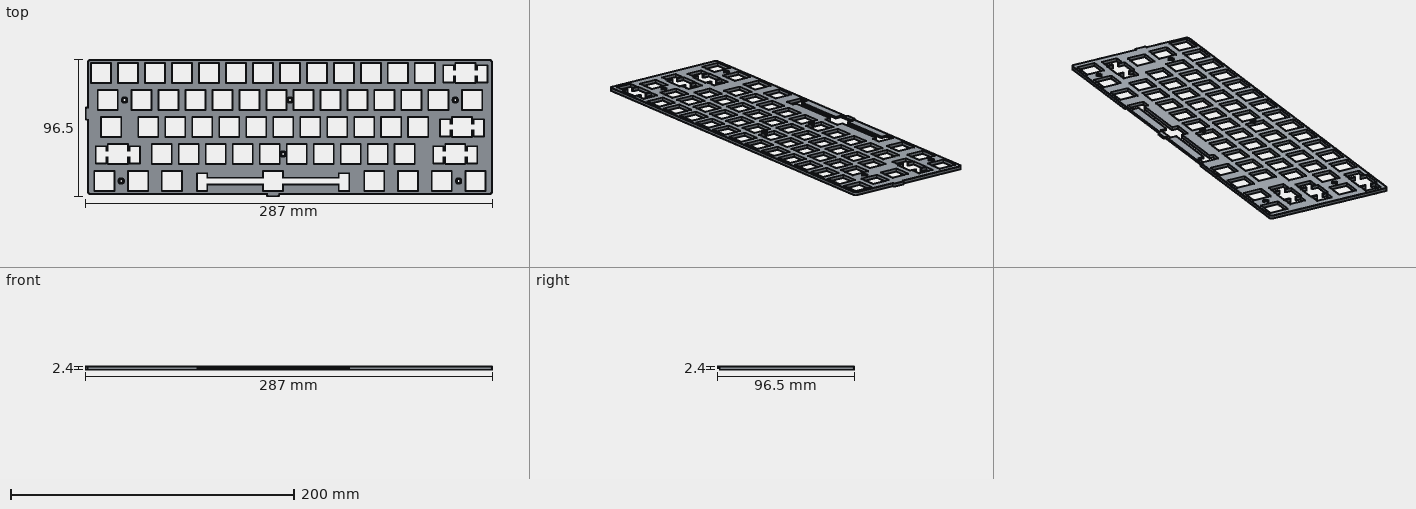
import cadquery as cq

total_length = 287
total_width = 96.5
thickness = 2.4
tab_reach = 1.5
body_length = total_length - tab_reach
body_width = total_width - tab_reach
body_left = -body_length / 2
body_front = -body_width / 2
corner_radius = 2.0
edge_chamfer = 0.23

grid_length = 285.7
keys_per_row = 15
key_unit = grid_length / keys_per_row
space_key = 6.25
key_rows = [
    [1] * 13 + [2],
    [1.5] + [1] * 12 + [1.5],
    [1.75] + [1] * 11 + [2.25],
    [2.25] + [1] * 10 + [2.75],
    [1.25] * 3 + [space_key] + [1.25] * 4,
]
middle_row = len(key_rows) // 2
space_key_x = (sum(key_rows[-1][:3]) + space_key / 2 - keys_per_row / 2) * key_unit

switch_margin = 2.52
switch_size = key_unit - 2 * switch_margin

narrowest_stabilized_key = 2
stab_width = 7.2
stab_top = 5.5
stab_bottom = -6.5
stab_slot_width = 4.5
stab_reach = 15.5
space_stab_reach = 53.6
space_stab_bottom = -switch_size / 2

tab_width = 9.0
tab_corner_radius = 1.0
side_tab_y = 9.5

relief_length = 2 * space_stab_reach
relief_back = -middle_row * key_unit - stab_slot_width / 2
relief_height = 1.1

screw_diameter = 2.6
screw_head_diameter = 4.0
screw_head_depth = 1.1
screw_places = [(-6.125, 1), (0, 1), (6.125, 1), (-0.25, -1), (-6.25, -2), (6.25, -2)]


def block(left, right, front, back, height=thickness):
    """A box standing on the underside plane."""
    size_x = right - left
    size_y = back - front
    return cq.Workplane("XY").box(size_x, size_y, height, centered=False).translate((left, front, 0))


def make_body():
    """Plate outline with its two tabs and the chamfered upper edge."""
    body = cq.Workplane("XY").rect(body_length, body_width).extrude(thickness)
    body = body.edges("|Z").fillet(corner_radius)
    half_tab = tab_width / 2
    side_tab = block(body_left - tab_reach, 0, side_tab_y - half_tab, side_tab_y + half_tab)
    front_tab = block(space_key_x - half_tab, space_key_x + half_tab, body_front - tab_reach, 0)
    body = body.union(side_tab.edges("|Z and <X").fillet(tab_corner_radius))
    body = body.union(front_tab.edges("|Z and <Y").fillet(tab_corner_radius))
    return body.faces(">Z").edges().chamfer(edge_chamfer)


def make_stabilizer_cuts(x, y, reach, bottom):
    """Two side openings joined to the switch opening by a slot."""
    inner = reach - stab_width
    half_slot = stab_slot_width / 2
    slot = block(x - inner, x + inner, y - half_slot, y + half_slot)
    left_opening = block(x - reach, x - inner, y + bottom, y + stab_top)
    right_opening = block(x + inner, x + reach, y + bottom, y + stab_top)
    return [slot, left_opening, right_opening]


def make_key_cuts(x, y, width):
    """Everything cut through the plate for one key."""
    half_switch = switch_size / 2
    cuts = [block(x - half_switch, x + half_switch, y - half_switch, y + half_switch)]
    if width == space_key:
        cuts += make_stabilizer_cuts(x, y, space_stab_reach, space_stab_bottom)
    elif width >= narrowest_stabilized_key:
        cuts += make_stabilizer_cuts(x, y, stab_reach, stab_bottom)
    return cuts


def make_all_key_cuts():
    """Cuts of every row, from the back row to the front row."""
    cuts = []
    for row, widths in enumerate(key_rows):
        y = (middle_row - row) * key_unit
        left = -keys_per_row / 2
        for width in widths:
            cuts += make_key_cuts((left + width / 2) * key_unit, y, width)
            left += width
    return cuts


def cut_screw_holes(plate):
    """Counterbored holes sunk from the top face."""
    points = [(x * key_unit, y * key_unit) for x, y in screw_places]
    top = plate.faces(">Z").workplane(origin=(0, 0, 0)).pushPoints(points)
    return top.cboreHole(screw_diameter, screw_head_diameter, screw_head_depth)


def make_front_relief():
    """Material removed from the underside along the front edge, tab included."""
    left = space_key_x - relief_length / 2
    right = space_key_x + relief_length / 2
    return block(left, right, body_front - tab_reach, relief_back, relief_height)


plate = make_body()
for cut in make_all_key_cuts():
    plate = plate.cut(cut)
plate = plate.cut(make_front_relief())
result = cut_screw_holes(plate)